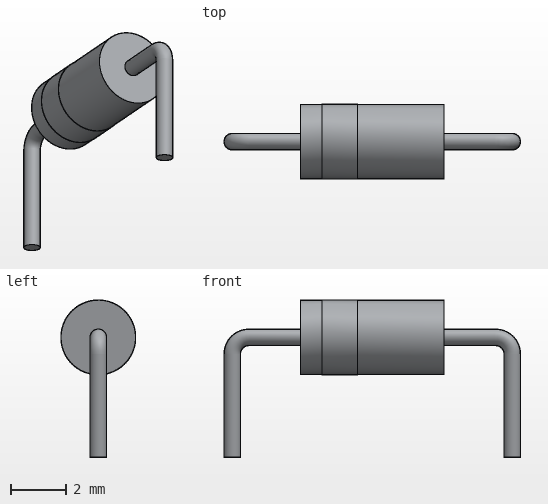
import cadquery as cq

overall_length = 10.76
overall_height = 5.71
wire_diameter = 0.6
bend_radius = 0.6
body_diameter = 2.7
body_length = 5.21
band_diameter = 2.72
band_length = 1.3
band_offset = 0.77

leg_x = (overall_length - wire_diameter) / 2
leg_bottom_z = band_diameter / 2 - overall_height
body_start_x = -body_length / 2


def cylinder_along_x(start_x, length, diameter):
    return cq.Workplane("YZ", origin=(start_x, 0, 0)).circle(diameter / 2).extrude(length)


def bent_lead():
    """One continuous wire through the body, turned down at both ends."""
    path = (
        cq.Workplane("XZ")
        .moveTo(-leg_x, leg_bottom_z)
        .lineTo(-leg_x, -bend_radius)
        .tangentArcPoint((-leg_x + bend_radius, 0), relative=False)
        .lineTo(leg_x - bend_radius, 0)
        .tangentArcPoint((leg_x, -bend_radius), relative=False)
        .lineTo(leg_x, leg_bottom_z)
    )
    foot = cq.Workplane("XY", origin=(-leg_x, 0, leg_bottom_z)).circle(wire_diameter / 2)
    return foot.sweep(path)


body = cylinder_along_x(body_start_x, body_length, body_diameter)

band = cylinder_along_x(body_start_x + band_offset, band_length, band_diameter)

result = body.union(band).union(bent_lead())